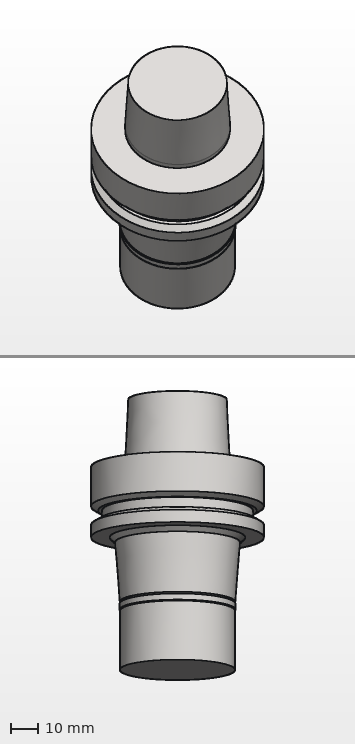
import cadquery as cq

total_length = 100.0
flange_diameter = 63.0
flange_top = 75.0
flange_height = 26.0
groove_offset = 18.0
groove_floor_diameter = 55.0
groove_wall_inner_diameter = 57.8
groove_inner_width = 3.8
groove_outer_width = 6.9

shank_base_diameter = 38.3
shank_base_height = 2.1
shank_top_diameter = 36.0

neck_chamfer_diameter = 49.4
neck_chamfer_height = 1.9
neck_top_diameter = 45.6
neck_bottom_diameter = 42.2
neck_bottom = 25.1

gap_diameter = 32.4
gap_width = 0.7
collar_diameter = 42.3
collar_height = 2.2
collar_chamfer_height = 0.4
nose_diameter = 42.0

flange_bottom = flange_top - flange_height
groove_centre = flange_top - groove_offset
groove_inner_half = groove_inner_width / 2
groove_outer_half = groove_outer_width / 2
collar_top = neck_bottom - gap_width
collar_bottom = collar_top - collar_height

nose_and_collar = [
    (nose_diameter, 0),
    (nose_diameter, collar_bottom - collar_chamfer_height),
    (collar_diameter, collar_bottom),
    (collar_diameter, collar_top),
    (gap_diameter, collar_top),
    (gap_diameter, neck_bottom),
]
neck = [
    (neck_bottom_diameter, neck_bottom),
    (neck_top_diameter, flange_bottom - neck_chamfer_height),
    (neck_chamfer_diameter, flange_bottom),
]
flange = [
    (flange_diameter, flange_bottom),
    (flange_diameter, groove_centre - groove_outer_half),
    (groove_wall_inner_diameter, groove_centre - groove_inner_half),
    (groove_floor_diameter, groove_centre - groove_inner_half),
    (groove_floor_diameter, groove_centre + groove_inner_half),
    (groove_wall_inner_diameter, groove_centre + groove_inner_half),
    (flange_diameter, groove_centre + groove_outer_half),
    (flange_diameter, flange_top),
]
shank = [
    (shank_base_diameter, flange_top),
    (shank_base_diameter, flange_top + shank_base_height),
    (shank_top_diameter, total_length),
]

stations = nose_and_collar + neck + flange + shank
outline = [(diameter / 2, height) for diameter, height in stations]
half_profile = [(0, 0)] + outline + [(0, total_length)]
result = cq.Workplane("XZ").polyline(half_profile).close().revolve(360, (0, 0), (0, 1))